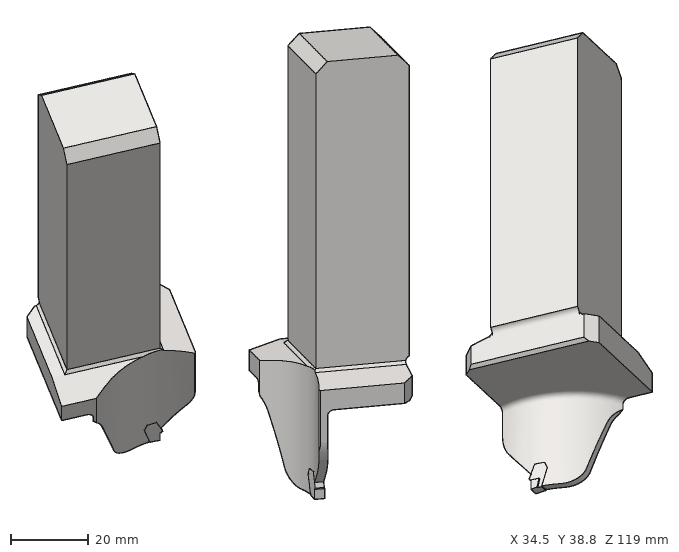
import cadquery as cq
import math

SHANK = 25.3
SHANK_Y = 4.3
TOP_Z = 119.0
TOP_CHAMFER = 3.1

HEAD_X = 1.1
HEAD_END_X = 34.5
HEAD_DEPTH = 38.8
HEAD_BOTTOM = 27.0
HEAD_TOP = 34.9
HEAD_RIM_TOP = 32.6
CORNER_CHAMFER = 3.0
BOTTOM_CHAMFER = 1.0
COLLAR = 0.8
UNDERCUT_RADIUS = 1.9
UNDERCUT_END_Z = 35.1

ARC_Y = 29.8
INNER_RADIUS = 27.0
INNER_X = 52.7
RUNOUT_ANGLE = 40.0
TIP_CORNER = 0.4

BLADE_X = 23.2
OUTER_RADIUS = 25.5
OUTER_X = BLADE_X + OUTER_RADIUS
BLADE_FILLET = 1.5
BLADE_BOTTOM = 0.6
BLADE_SEAT_Y = 28.6

TIP_FACE_X = 22.8
TIP_TOP_Z = 2.7
TIP_Y = 29.5
TIP_INNER_Y = 27.1
TIP_RAKE = 0.6

SHANK_BACK_Y = SHANK_Y + SHANK
SLOPE_X = SHANK + COLLAR
SLOPE_Y = SHANK_BACK_Y + COLLAR


def arc_point(angle):
    """Point on the concave edge, at an angle from -X toward -Y."""
    a = math.radians(angle)
    return INNER_X - INNER_RADIUS * math.cos(a), ARC_Y - INNER_RADIUS * math.sin(a)


def plan_column():
    """Plan outline of the head, extruded upward from Z = 0."""
    runout_x, runout_y = arc_point(RUNOUT_ANGLE)
    end_y = runout_y - (HEAD_END_X - runout_x) / math.tan(math.radians(RUNOUT_ANGLE))
    back_angle = -math.degrees(math.asin((HEAD_DEPTH - TIP_CORNER - ARC_Y) / INNER_RADIUS))
    back_x, back_y = arc_point(back_angle)
    return (
        cq.Workplane("XY")
        .moveTo(HEAD_X + CORNER_CHAMFER, 0)
        .lineTo(HEAD_END_X, 0)
        .lineTo(HEAD_END_X, end_y)
        .lineTo(runout_x, runout_y)
        .threePointArc(arc_point(0), (back_x, back_y))
        .lineTo(back_x - TIP_CORNER, HEAD_DEPTH)
        .lineTo(HEAD_X + CORNER_CHAMFER, HEAD_DEPTH)
        .lineTo(HEAD_X, HEAD_DEPTH - CORNER_CHAMFER)
        .lineTo(HEAD_X, CORNER_CHAMFER)
        .close()
        .extrude(TOP_Z)
    )


def make_shank():
    undercut_x = HEAD_X - UNDERCUT_RADIUS
    undercut_top = UNDERCUT_END_Z + math.sqrt(UNDERCUT_RADIUS**2 - undercut_x**2)
    middle = math.acos(-undercut_x / UNDERCUT_RADIUS) / 2
    undercut_middle = (
        undercut_x + UNDERCUT_RADIUS * math.cos(middle),
        UNDERCUT_END_Z + UNDERCUT_RADIUS * math.sin(middle),
    )
    return (
        cq.Workplane("XZ", origin=(0, SHANK_BACK_Y, 0))
        .moveTo(HEAD_X, HEAD_BOTTOM + BOTTOM_CHAMFER)
        .lineTo(HEAD_X, UNDERCUT_END_Z)
        .threePointArc(undercut_middle, (0, undercut_top))
        .lineTo(0, TOP_Z - TOP_CHAMFER)
        .lineTo(TOP_CHAMFER, TOP_Z)
        .lineTo(SHANK - TOP_CHAMFER, TOP_Z)
        .lineTo(SHANK, TOP_Z - TOP_CHAMFER)
        .lineTo(SHANK, HEAD_BOTTOM + BOTTOM_CHAMFER)
        .close()
        .extrude(SHANK)
    )


def make_head(column):
    front_profile = (
        cq.Workplane("XZ", origin=(0, HEAD_DEPTH, 0))
        .polyline([
            (HEAD_X + BOTTOM_CHAMFER, HEAD_BOTTOM),
            (HEAD_END_X, HEAD_BOTTOM),
            (HEAD_END_X, HEAD_RIM_TOP),
            (SLOPE_X, HEAD_TOP),
            (HEAD_X, HEAD_TOP),
            (HEAD_X, HEAD_BOTTOM + BOTTOM_CHAMFER),
        ])
        .close()
        .extrude(HEAD_DEPTH)
    )
    side_profile = (
        cq.Workplane("YZ")
        .polyline([
            (0, HEAD_BOTTOM),
            (HEAD_DEPTH, HEAD_BOTTOM),
            (HEAD_DEPTH, HEAD_RIM_TOP),
            (SLOPE_Y, HEAD_TOP),
            (0, HEAD_TOP),
        ])
        .close()
        .extrude(HEAD_END_X)
    )
    collar = (
        cq.Workplane("XY", origin=(HEAD_X, SHANK_Y - COLLAR, HEAD_TOP - COLLAR))
        .box(SLOPE_X - HEAD_X, SHANK + 2 * COLLAR, 2 * COLLAR, centered=False)
        .edges(">Z and (not <X)")
        .chamfer(COLLAR)
    )
    return front_profile.intersect(side_profile).union(collar).intersect(column)


def make_curved_band(column):
    """Outer cylinder flaring into the head, cut to the plan outline."""
    fillet_z = HEAD_BOTTOM - BLADE_FILLET
    flare_radius = OUTER_RADIUS + BLADE_FILLET
    fillet_offset = BLADE_FILLET * math.sqrt(0.5)
    return (
        cq.Workplane("XZ", origin=(OUTER_X, ARC_Y, 0))
        .lineTo(OUTER_RADIUS, 0)
        .lineTo(OUTER_RADIUS, fillet_z)
        .threePointArc(
            (flare_radius - fillet_offset, fillet_z + fillet_offset),
            (flare_radius, HEAD_BOTTOM),
        )
        .lineTo(0, HEAD_BOTTOM)
        .close()
        .revolve(360, (0, 0, 0), (0, 1, 0))
        .intersect(column)
    )


def make_blade(band):
    side_profile = (
        cq.Workplane("YZ")
        .moveTo(0, HEAD_BOTTOM)
        .lineTo(HEAD_DEPTH, HEAD_BOTTOM)
        .lineTo(HEAD_DEPTH, 18.3)
        .threePointArc((38.3, 15.7), (36.9, 13.0))
        .lineTo(29.6, 4.6)
        .lineTo(BLADE_SEAT_Y, BLADE_BOTTOM)
        .lineTo(21.3, BLADE_BOTTOM)
        .threePointArc((17.5, 2.1), (15.5, 5.6))
        .lineTo(11.4, 19.2)
        .threePointArc((10.5, 21.4), (8.7, 23.9))
        .lineTo(0, HEAD_BOTTOM - BLADE_FILLET)
        .close()
        .extrude(HEAD_END_X)
    )
    return band.intersect(side_profile)


def make_insert_prism():
    """Side outline of the insert: seat above, cutting tip below."""
    return (
        cq.Workplane("YZ")
        .polyline([
            (TIP_Y, 0),
            (TIP_Y, TIP_TOP_Z),
            (30.2, 3.3),
            (28.6, 7.4),
            (25.8, 7.4),
            (25.1, 5.7),
            (26.7, 0.4),
        ])
        .close()
        .extrude(HEAD_END_X)
    )


def make_insert(band, prism, column):
    tip = (
        cq.Workplane("YZ", origin=(TIP_FACE_X, 0, 0))
        .polyline([
            (TIP_Y, 0),
            (TIP_Y, TIP_TOP_Z),
            (TIP_INNER_Y, TIP_TOP_Z),
            (TIP_INNER_Y + TIP_RAKE, 0),
        ])
        .close()
        .extrude(HEAD_END_X - TIP_FACE_X)
        .intersect(prism)
        .intersect(column)
    )
    return band.intersect(prism).union(tip)


column = plan_column()
band = make_curved_band(column)
insert_prism = make_insert_prism()
insert = make_insert(band, insert_prism, column)
holder = make_shank().union(make_head(column)).union(make_blade(band)).cut(insert_prism)

result = cq.Compound.makeCompound([holder.solids().val(), insert.solids().val()])